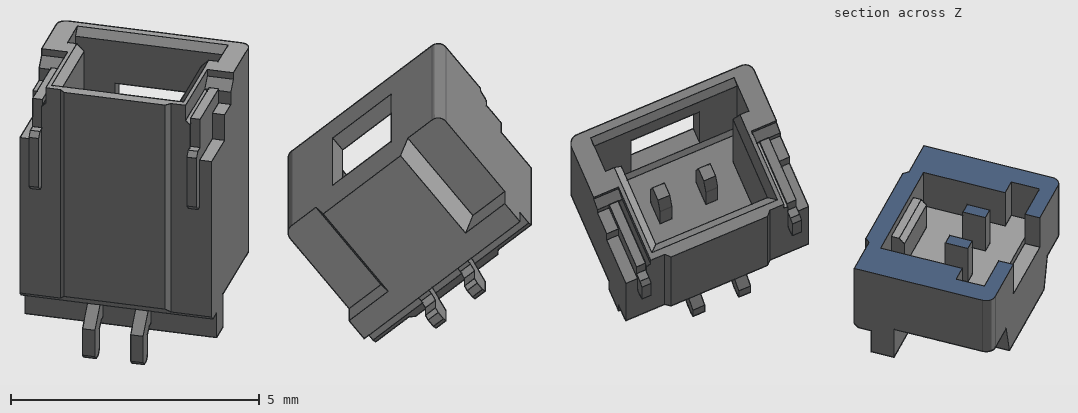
import cadquery as cq
import math


WIDTH = 4.0
SETBACK_MAX = 3.19
DEPTH_MAX = 5.9

WING_FRONT = 2.96
PANEL_HEIGHT = 0.1
PANEL_FRONT = WING_FRONT + PANEL_HEIGHT
SHELL_DEPTH = 4.61
BACK_RADIUS = 0.2
PANEL_HALF_WIDTH = 1.055
PANEL_FOOT_HALF_WIDTH = 1.15
FRONT_BEVEL = 0.19

FOOT_BACK = 2.1
FOOT_FRONT = 2.59
FOOT_BOTTOM = 5.36
KEY_HALF_WIDTH = 1.18
KEY_DRAFT = 14.0

CAVITY_HALF_WIDTH = 1.22
CAVITY_BACK = 0.325
CAVITY_FRONT = 2.67
SLOT_HALF_WIDTH = 1.57
SLOT_FRONT = 0.92
LEAD_IN = 0.155
LEAD_IN_ANGLE = 45.0
CAVITY_DEPTH = 4.13
FLOOR_BEVEL = 0.105

WINDOW_HALF_WIDTH = 0.75
WINDOW_TOP = 1.105
WINDOW_BOTTOM = CAVITY_DEPTH - FLOOR_BEVEL

PITCH = 1.005
CONTACT_WIDTH = 0.26
POST_BACK = 1.025
POST_FRONT = 1.515
POST_TOP = 2.36
POST_TAPER = 0.105
POST_TAPER_LENGTH = 0.625
TAIL_TOP = SHELL_DEPTH + FRONT_BEVEL
TAIL_UNDERSIDE = 5.215
TAIL_THICKNESS = 0.35
TAIL_INNER_BEND = 0.13
TAIL_TIP_CHAMFER = 0.09

LEDGE_HALF_WIDTH = PITCH / 2 + CONTACT_WIDTH / 2
LEDGE_BACK = 2.39
LEDGE_HEIGHT = 0.71
LEDGE_CHAMFER = 0.11

NOTCH_INNER_X = 1.46
NOTCH_BACK = 1.32
NOTCH_WALL_DEPTH = 0.15
NOTCH_SLOPE = 0.195
NOTCH_BLADE_BACK = NOTCH_BACK + NOTCH_SLOPE
NOTCH_FLOOR = NOTCH_WALL_DEPTH + NOTCH_SLOPE
STEP_DEPTH = 0.62
STEP_SETBACK = 1.99
STEP_FLOOR = 1.2
BLADE_INNER_X = 1.545
BLADE_THICKNESS = 0.2
BLADE_TOP = 0.3
BLADE_FRONT = 2.915
TAB_TOP = 0.94
TAB_BOTTOM = 2.255
TAB_CHAMFER = 0.105


def block(half_width, back, front, top, bottom):
    """Box centred on x = 0 between two setbacks and two depths."""
    return cq.Workplane("XY").box(
        2 * half_width, front - back, bottom - top, centered=(True, False, False)
    ).translate((0, -front, -bottom))


def side_plate(points, x_start, thickness):
    """Plate of constant thickness along X from (setback, depth) points."""
    outline = [(-setback, -depth) for setback, depth in points]
    return cq.Workplane("YZ").workplane(offset=x_start).polyline(outline).close().extrude(thickness)


def both_sides(solid):
    return solid.union(solid.mirror("YZ"))


def make_shell():
    bottom = SHELL_DEPTH + FRONT_BEVEL
    shell = block(WIDTH / 2, 0, WING_FRONT, 0, bottom).edges("|Z and >Y").fillet(BACK_RADIUS)
    panel = (
        cq.Workplane("XY")
        .polyline([
            (-PANEL_FOOT_HALF_WIDTH, -WING_FRONT),
            (-PANEL_HALF_WIDTH, -PANEL_FRONT),
            (PANEL_HALF_WIDTH, -PANEL_FRONT),
            (PANEL_FOOT_HALF_WIDTH, -WING_FRONT),
        ])
        .close()
        .extrude(-bottom)
    )
    under_back = block(WIDTH / 2, 0, FOOT_BACK, SHELL_DEPTH, bottom)
    front_bevel = side_plate(
        [(PANEL_FRONT, SHELL_DEPTH), (PANEL_FRONT, bottom), (PANEL_FRONT - FRONT_BEVEL, bottom)],
        -WIDTH / 2, WIDTH,
    )
    return shell.union(panel).cut(under_back).cut(front_bevel)


def make_foot():
    """Full-width bar with a key behind it that narrows downwards."""
    bar = block(WIDTH / 2, FOOT_BACK, FOOT_FRONT, SHELL_DEPTH, FOOT_BOTTOM)
    taper = (FOOT_BOTTOM - SHELL_DEPTH) * math.tan(math.radians(KEY_DRAFT))
    key = (
        cq.Workplane("XZ")
        .polyline([
            (-KEY_HALF_WIDTH, -SHELL_DEPTH),
            (KEY_HALF_WIDTH, -SHELL_DEPTH),
            (KEY_HALF_WIDTH - taper, -FOOT_BOTTOM),
            (-KEY_HALF_WIDTH + taper, -FOOT_BOTTOM),
        ])
        .close()
        .extrude(FOOT_BACK)
    )
    return bar.union(key)


def make_cavity():
    """Cavity with a wider slot at the back, a lead-in at the mouth and a bevelled floor edge."""
    main = block(CAVITY_HALF_WIDTH, SLOT_FRONT, CAVITY_FRONT, 0, CAVITY_DEPTH)
    slot = side_plate(
        [
            (CAVITY_BACK - LEAD_IN, 0),
            (SLOT_FRONT, 0),
            (SLOT_FRONT, CAVITY_DEPTH),
            (CAVITY_BACK + FLOOR_BEVEL, CAVITY_DEPTH),
            (CAVITY_BACK, CAVITY_DEPTH - FLOOR_BEVEL),
            (CAVITY_BACK, LEAD_IN),
        ],
        -SLOT_HALF_WIDTH, 2 * SLOT_HALF_WIDTH,
    )
    lead_in_back = SLOT_FRONT - LEAD_IN
    lead_in_front = CAVITY_FRONT + LEAD_IN
    lead_in = (
        cq.Workplane("XY")
        .center(0, -(lead_in_back + lead_in_front) / 2)
        .rect(2 * (CAVITY_HALF_WIDTH + LEAD_IN), lead_in_front - lead_in_back)
        .extrude(-LEAD_IN, taper=LEAD_IN_ANGLE)
    )
    return main.union(slot).union(lead_in)


def make_notch():
    """Cut at the +X shoulder: a stepped outer part and a shallow inner part with a sloped floor."""
    front = PANEL_FRONT
    inner_width = BLADE_INNER_X - NOTCH_INNER_X
    shallow = [
        (NOTCH_BACK, 0),
        (NOTCH_BACK, NOTCH_WALL_DEPTH),
        (NOTCH_BLADE_BACK, NOTCH_FLOOR),
        (front, NOTCH_FLOOR),
        (front, 0),
    ]
    stepped = [
        (NOTCH_BACK, 0),
        (NOTCH_BACK, NOTCH_WALL_DEPTH),
        (NOTCH_BLADE_BACK, NOTCH_FLOOR),
        (NOTCH_BLADE_BACK, STEP_DEPTH),
        (STEP_SETBACK, STEP_DEPTH),
        (STEP_SETBACK, STEP_FLOOR),
        (front, STEP_FLOOR),
        (front, 0),
    ]
    slope = (
        cq.Workplane("XZ")
        .workplane(offset=NOTCH_BLADE_BACK)
        .polyline([
            (NOTCH_INNER_X, -NOTCH_FLOOR),
            (BLADE_INNER_X, -NOTCH_FLOOR),
            (BLADE_INNER_X, -NOTCH_FLOOR - inner_width),
        ])
        .close()
        .extrude(front - NOTCH_BLADE_BACK)
    )
    inner = side_plate(shallow, NOTCH_INNER_X, inner_width)
    outer = side_plate(stepped, BLADE_INNER_X, WIDTH / 2 - BLADE_INNER_X)
    return inner.union(slope).union(outer)


def make_blade():
    """Retention blade on the +X side with a solder tab bent down over the wing."""
    return side_plate(
        [
            (NOTCH_BLADE_BACK, BLADE_TOP),
            (BLADE_FRONT, BLADE_TOP),
            (BLADE_FRONT, TAB_TOP),
            (SETBACK_MAX - TAB_CHAMFER, TAB_TOP),
            (SETBACK_MAX, TAB_TOP + TAB_CHAMFER),
            (SETBACK_MAX, TAB_BOTTOM - TAB_CHAMFER),
            (SETBACK_MAX - TAB_CHAMFER, TAB_BOTTOM),
            (BLADE_FRONT, TAB_BOTTOM),
            (BLADE_FRONT, STEP_FLOOR),
            (STEP_SETBACK, STEP_FLOOR),
            (STEP_SETBACK, STEP_DEPTH),
            (NOTCH_BLADE_BACK, STEP_DEPTH),
        ],
        BLADE_INNER_X, BLADE_THICKNESS,
    )


def make_contact(x_center):
    """Tapered post in the cavity and a bent solder tail in front of the foot."""
    x_start = x_center - CONTACT_WIDTH / 2
    post = side_plate(
        [
            (POST_BACK, CAVITY_DEPTH),
            (POST_BACK, POST_TOP + POST_TAPER_LENGTH),
            (POST_BACK + POST_TAPER, POST_TOP),
            (POST_FRONT - POST_TAPER, POST_TOP),
            (POST_FRONT, POST_TOP + POST_TAPER_LENGTH),
            (POST_FRONT, CAVITY_DEPTH),
        ],
        x_start, CONTACT_WIDTH,
    )
    tail_back = SETBACK_MAX - TAIL_THICKNESS
    outer_bend = TAIL_UNDERSIDE - TAIL_TOP
    tail = side_plate(
        [
            (FOOT_FRONT, TAIL_TOP),
            (SETBACK_MAX - outer_bend, TAIL_TOP),
            (SETBACK_MAX, TAIL_UNDERSIDE),
            (SETBACK_MAX, DEPTH_MAX - TAIL_TIP_CHAMFER),
            (SETBACK_MAX - TAIL_TIP_CHAMFER, DEPTH_MAX),
            (tail_back + TAIL_TIP_CHAMFER, DEPTH_MAX),
            (tail_back, DEPTH_MAX - TAIL_TIP_CHAMFER),
            (tail_back, TAIL_UNDERSIDE + TAIL_INNER_BEND),
            (tail_back - TAIL_INNER_BEND, TAIL_UNDERSIDE),
            (FOOT_FRONT, TAIL_UNDERSIDE),
        ],
        x_start, CONTACT_WIDTH,
    )
    return post.union(tail)


def make_ledge():
    ledge_top = CAVITY_DEPTH - LEDGE_HEIGHT
    ledge = block(LEDGE_HALF_WIDTH, LEDGE_BACK, CAVITY_FRONT, ledge_top, CAVITY_DEPTH)
    return ledge.edges(">Y and >Z").chamfer(LEDGE_CHAMFER)


window = block(WINDOW_HALF_WIDTH, 0, CAVITY_BACK, WINDOW_TOP, WINDOW_BOTTOM)

result = make_shell().union(make_foot()).cut(make_cavity()).cut(window)
result = result.cut(both_sides(make_notch())).union(both_sides(make_blade())).union(make_ledge())
for x_center in (-PITCH / 2, PITCH / 2):
    result = result.union(make_contact(x_center))